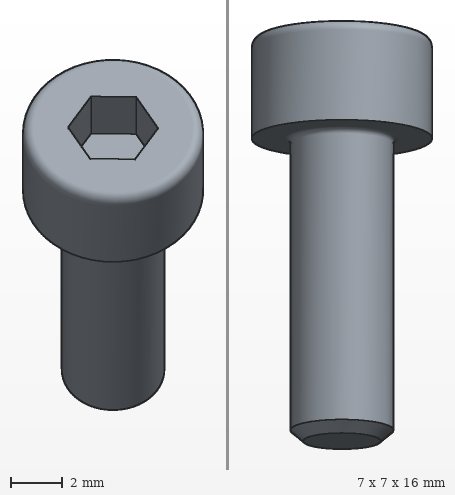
import cadquery as cq

total_length = 16.0
head_diameter = 7.0
head_height = 4.0
head_edge_radius = 0.4
shank_diameter = 4.0
neck_fillet_radius = 0.2
tip_chamfer_height = 0.43
tip_chamfer_width = 0.5
socket_across_flats = 3.02
socket_depth = 2.4
HEX_SIDES = 6

shank_length = total_length - head_height


def make_shank():
    """Cylindrical shank with a chamfered tip."""
    radius = shank_diameter / 2
    tip_radius = radius - tip_chamfer_width
    profile = (
        cq.Workplane("XZ")
        .lineTo(tip_radius, 0)
        .lineTo(radius, tip_chamfer_height)
        .lineTo(radius, shank_length)
        .lineTo(0, shank_length)
        .close()
    )
    return profile.revolve(360, (0, 0, 0), (0, 1, 0))


def make_head():
    """Cylindrical head with a rounded top edge."""
    base = cq.Workplane("XY").workplane(offset=shank_length)
    head = base.circle(head_diameter / 2).extrude(head_height)
    return head.faces(">Z").edges().fillet(head_edge_radius)


def make_neck_fillet():
    """Concave ring blending the shank into the underside of the head."""
    radius = shank_diameter / 2
    profile = (
        cq.Workplane("XZ")
        .moveTo(0, shank_length - neck_fillet_radius)
        .lineTo(radius, shank_length - neck_fillet_radius)
        .radiusArc((radius + neck_fillet_radius, shank_length), neck_fillet_radius)
        .lineTo(0, shank_length)
        .close()
    )
    return profile.revolve(360, (0, 0, 0), (0, 1, 0))


def make_socket():
    """Hexagonal drive recess with two corners on the X axis."""
    top = cq.Workplane("XY").workplane(offset=total_length)
    hexagon = top.polygon(HEX_SIDES, socket_across_flats, circumscribed=True).extrude(-socket_depth)
    return hexagon.rotate((0, 0, 0), (0, 0, 1), 180 / HEX_SIDES)


result = make_shank().union(make_neck_fillet()).union(make_head()).cut(make_socket())